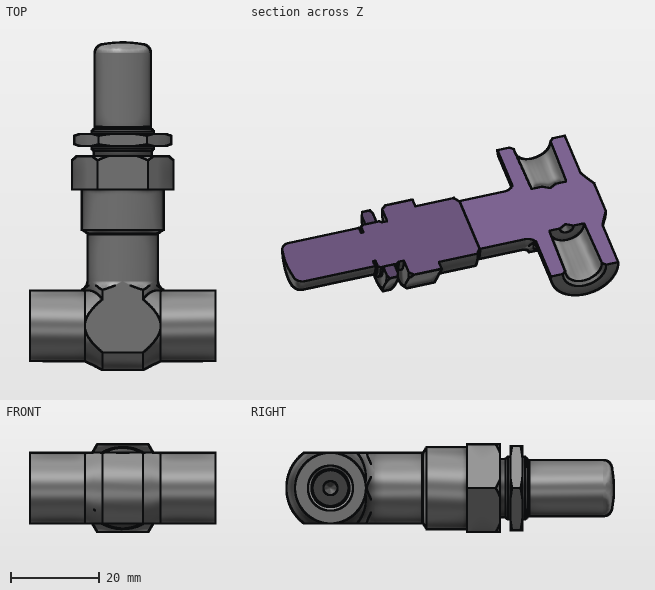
import cadquery as cq
import math


tee_length = 42.0
tube_radius = 8.0
belly_radius = 10.0
belly_cone_end = 8.57
flat_half_height = tube_radius
collar_corner_radius = 2 * flat_half_height / math.sqrt(3)
belly_half_width = collar_corner_radius / 2
collar_fillet_radius = 2.0
collar_top = tube_radius + collar_fillet_radius
branch_end = 20.9
branch_chamfer = 0.2

port_radius = 4.3
port_floor_radius = 4.05
port_mouth_radius = 5.1
port_mouth_depth = port_mouth_radius - port_radius
port_depth = 14.0
port_centre_radius = 1.6
drill_point_angle = 118.0

sleeve_radius = 9.3
sleeve_start = 21.65
sleeve_cone_radius = 9.1
hex_start = 30.8
hex_end = 38.35
hex_corner_radius = 11.5
hex_chamfer = 1.0
thread_radius = 7.1
thread_chamfer_radius = 6.6
thread_chamfer_length = 0.6
thread_start = 39.5
thread_end = 44.5
groove_radius = 4.75
knob_radius = 6.4
knob_start = 44.95
knob_end = 64.16
knob_crown_radius = 22.0
knob_edge_radius = 2.1

nut_corner_radius = 11.0
nut_thickness = 2.75
nut_chamfer_inset = 1.2
nut_chamfer_angle = 20.0
nut_start = (thread_start + thread_end - nut_thickness) / 2


def cylinder_y(radius, start, end):
    """Cylinder on the Y axis from Y = start to Y = end."""
    return cq.Workplane("XZ", origin=(0, start, 0)).circle(radius).extrude(start - end)


def hex_prism_y(corner_radius, start, end):
    """Hexagonal prism on the Y axis with two corners on +X and -X."""
    profile = cq.Workplane("XZ", origin=(0, start, 0)).polygon(6, 2 * corner_radius)
    return profile.extrude(start - end)


def revolve_y(profile):
    """Solid turned about the Y axis from (radius, Y) points."""
    return cq.Workplane("XY").polyline(profile).close().revolve(360, (0, 0), (0, 1))


def revolve_x(profile):
    """Solid turned about the X axis from (X, radius) points."""
    return cq.Workplane("XY").polyline(profile).close().revolve(360, (0, 0), (1, 0))


def make_belly():
    """Turned run of both ports with a thick middle, cut flat above and below."""
    half_length = tee_length / 2
    run = revolve_x([
        (-half_length, 0),
        (-half_length, tube_radius),
        (-belly_cone_end, tube_radius),
        (-belly_half_width, belly_radius),
        (belly_half_width, belly_radius),
        (belly_cone_end, tube_radius),
        (half_length, tube_radius),
        (half_length, 0),
    ])
    flats = cq.Workplane("XY").box(tee_length, 2 * belly_radius, 2 * flat_half_height)
    return run.intersect(flats)


def make_collar():
    """Hexagonal collar at the root of the branch, blended into it by a concave fillet."""
    prism = hex_prism_y(collar_corner_radius, 0, collar_top)
    fillet_foot = tube_radius + collar_fillet_radius
    fillet_envelope = (
        cq.Workplane("XY")
        .lineTo(fillet_foot, 0)
        .lineTo(fillet_foot, collar_top - collar_fillet_radius)
        .radiusArc((tube_radius, collar_top), collar_fillet_radius)
        .lineTo(0, collar_top)
        .close()
        .revolve(360, (0, 0), (0, 1))
    )
    return prism.intersect(fillet_envelope)


def make_port_bore():
    """Blind tapered bore of the -X port, with a countersunk mouth and a drill point in its floor."""
    mouth = -tee_length / 2
    floor = mouth + port_depth
    drill_point_depth = port_centre_radius / math.tan(math.radians(drill_point_angle / 2))
    return revolve_x([
        (mouth, 0),
        (mouth, port_mouth_radius),
        (mouth + port_mouth_depth, port_radius),
        (floor, port_floor_radius),
        (floor, port_centre_radius),
        (floor + drill_point_depth, 0),
    ])


def make_tee():
    branch = cylinder_y(tube_radius, 0, branch_end).faces(">Y").chamfer(branch_chamfer)
    bore = make_port_bore()
    return make_belly().union(make_collar()).union(branch).cut(bore).cut(bore.mirror("YZ"))


def make_bonnet_hex():
    """Hexagon of the bonnet, with its corners chamfered at the knob end."""
    prism = hex_prism_y(hex_corner_radius, hex_start, hex_end)
    envelope = cylinder_y(hex_corner_radius, hex_start, hex_end).faces(">Y").chamfer(hex_chamfer)
    return prism.intersect(envelope)


def make_knob():
    """Round knob with a slightly domed end and a rounded edge."""
    crown = cq.Workplane("XY", origin=(0, knob_end - knob_crown_radius, 0)).sphere(knob_crown_radius)
    knob = cylinder_y(knob_radius, knob_start, knob_end).intersect(crown)
    return knob.edges(">Y").fillet(knob_edge_radius)


def make_bonnet():
    """Sleeve, hexagon, threaded stem and knob, all on the Y axis."""
    stem = revolve_y([
        (0, branch_end),
        (tube_radius, branch_end),
        (sleeve_cone_radius, sleeve_start),
        (sleeve_radius, sleeve_start),
        (sleeve_radius, hex_start),
        (thread_chamfer_radius, hex_start),
        (thread_chamfer_radius, thread_start),
        (thread_radius, thread_start + thread_chamfer_length),
        (thread_radius, thread_end - thread_chamfer_length),
        (thread_chamfer_radius, thread_end),
        (groove_radius, thread_end),
        (groove_radius, knob_start),
        (0, knob_start),
    ])
    return stem.union(make_bonnet_hex()).union(make_knob())


def make_jam_nut():
    """Thin hexagon nut on the thread, with its corners chamfered on both faces."""
    nut_end = nut_start + nut_thickness
    chamfer_drop = nut_chamfer_inset * math.tan(math.radians(nut_chamfer_angle))
    envelope = revolve_y([
        (0, nut_start),
        (nut_corner_radius - nut_chamfer_inset, nut_start),
        (nut_corner_radius, nut_start + chamfer_drop),
        (nut_corner_radius, nut_end - chamfer_drop),
        (nut_corner_radius - nut_chamfer_inset, nut_end),
        (0, nut_end),
    ])
    hole = cylinder_y(thread_radius, nut_start, nut_end)
    return hex_prism_y(nut_corner_radius, nut_start, nut_end).intersect(envelope).cut(hole)


tee = make_tee()
bonnet = make_bonnet()
jam_nut = make_jam_nut()

result = cq.Compound.makeCompound([tee.val(), bonnet.val(), jam_nut.val()])